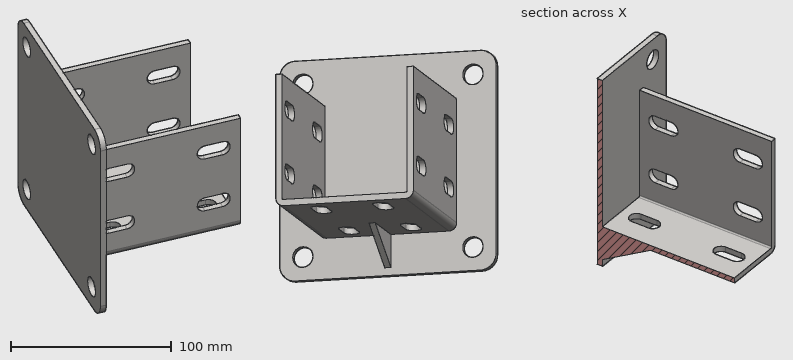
import cadquery as cq
import math

plate_size = 140.0
plate_thickness = 4.0
plate_corner_radius = 10.0
plate_hole_diameter = 13.0
plate_hole_spacing = 110.0

channel_length = 100.0
channel_width = 89.0
channel_wall = 4.0
bend_inner_radius = 1.0
bend_outer_radius = bend_inner_radius + channel_wall
channel_bottom = -44.0
channel_top = 40.0

slot_length = 22.0
slot_width = 10.0
slot_cross_spacing = 40.0
slot_end_margin = 18.0
slot_row_spacing = channel_length - 2 * slot_end_margin

gusset_height = 21.0
gusset_angle = 30.0
gusset_length = gusset_height / math.tan(math.radians(gusset_angle))
gusset_thickness = 4.0

channel_middle_y = plate_thickness + channel_length / 2


def make_plate():
    plate = (
        cq.Workplane("XY")
        .box(plate_size, plate_thickness, plate_size)
        .translate((0, plate_thickness / 2, 0))
        .edges("|Y")
        .fillet(plate_corner_radius)
    )
    holes = (
        cq.Workplane("XZ")
        .rarray(plate_hole_spacing, plate_hole_spacing, 2, 2)
        .circle(plate_hole_diameter / 2)
        .extrude(-plate_thickness)
    )
    return plate.cut(holes)


def channel_block(width, bottom, bend_radius):
    """Full-length block up to the channel top, with its two lower edges rounded."""
    height = channel_top - bottom
    return (
        cq.Workplane("XY")
        .box(width, channel_length, height)
        .translate((0, channel_middle_y, bottom + height / 2))
        .edges("|Y and <Z")
        .fillet(bend_radius)
    )


def slot_cutters(workplane, depth):
    """Four slots cut symmetrically about the workplane, whose local Y lies along the channel."""
    return (
        workplane
        .rarray(slot_cross_spacing, slot_row_spacing, 2, 2)
        .slot2D(slot_length, slot_width, 90)
        .extrude(depth / 2, both=True)
    )


def make_channel():
    outside = channel_block(channel_width, channel_bottom, bend_outer_radius)
    inside = channel_block(
        channel_width - 2 * channel_wall, channel_bottom + channel_wall, bend_inner_radius
    )
    floor_middle = (0, channel_middle_y, channel_bottom + channel_wall / 2)
    floor_slots = slot_cutters(cq.Workplane("XY", origin=floor_middle), channel_wall)
    wall_plane = cq.Plane(origin=(0, channel_middle_y, 0), xDir=(0, 0, 1), normal=(-1, 0, 0))
    wall_slots = slot_cutters(cq.Workplane(wall_plane), channel_width)
    return outside.cut(inside).cut(floor_slots).cut(wall_slots)


def make_gusset():
    return (
        cq.Workplane("YZ")
        .moveTo(plate_thickness, channel_bottom)
        .lineTo(plate_thickness + gusset_length, channel_bottom)
        .lineTo(plate_thickness, channel_bottom - gusset_height)
        .close()
        .extrude(gusset_thickness / 2, both=True)
    )


result = make_plate().union(make_channel()).union(make_gusset())